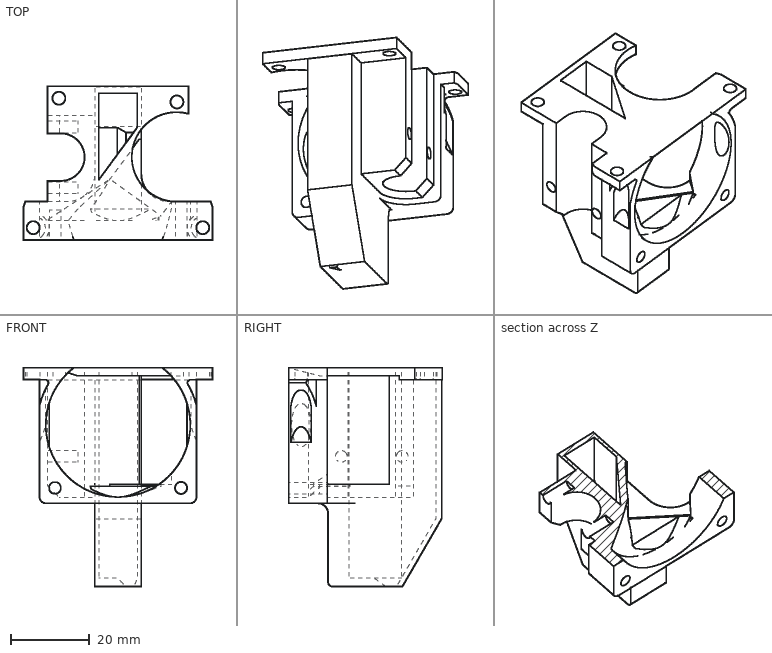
import cadquery as cq
import math

total_height = 55.65
total_depth = 39.1

plate_thickness = 3.0
tab_half_width = 48.0 / 2
tab_depth = 9.85
tab_corner_x = 0.45
tab_corner_y = 1.4
rear_half_width = 17.95
plate_hole_dia = 3.2
tab_screw_x = 21.55
tab_screw_y = 3.15
rear_screws = [(-15.0, 36.05), (14.95, 35.1)]
big_notch_x = 14.85
big_notch_y = 21.15
big_notch_radius = 11.35

fan_half_width = 19.95
fan_center_z = -14.5
fan_bottom = fan_center_z - fan_half_width
fan_corner_radius = 1.7
fan_bore_radius = 18.35
fan_bore_depth = 5.0
fan_screw_offset = 16.0
fan_screw_dia = 3.0
left_fan_screw_depth = 7.8
ring_outer_radius = 20.5
relief_inner_x = 17.5
relief_corner_radius = 1.15
relief_depth = 7.05
relief_inner_depth = 4.4
clearance_radius = 3.0
clearance_wall = 1.0
boss_bottom_z = -22.25
clearance_bottom_z = -18.9
clearance_shoulder_z = -15.0

stem_half_width = 5.95
stem_front = 10.0
stem_back = 38.95
slant_top_z = -38.35
slant_bottom_y = 28.9
stem_toe_radius = 1.2
stem_root_radius = 2.5
stem_side_radius = 7.0
stem_wall = 1.05
back_wall = 1.4

block_back = 31.7
block_bottom = -32.95
block_chamfer = 3.0
rod_radius = 6.0
rod_x = -14.5
rod_y = 21.1
clamp_hole_dia = 2.95
clamp_hole_spacing = 15.45
clamp_hole_z = -22.5
clamp_hole_depth = 7.8

duct_roof_z = -2.05
duct_lip_y = 8.0
duct_lip_z = -30.1
outlet_floor_z = -29.65
outlet_left = (-2.1, 15.6)
outlet_right = (10.85, 6.25)
outlet_end = (5.35, 25.6)

pocket_half_width = stem_half_width - stem_wall
pocket_front_y = 15.3
pocket_corner_y = 28.65
pocket_floor_z = -53.4
pocket_floor_x = -0.15


def box(x0, x1, y0, y1, z0, z1):
    return cq.Workplane("XY").box(x1 - x0, y1 - y0, z1 - z0, centered=False).translate((x0, y0, z0))


def plan_prism(points, z0, z1):
    return cq.Workplane("XY").polyline(points).close().extrude(z1 - z0).translate((0, 0, z0))


def side_prism(points, half_width):
    """Extrude a (Y, Z) outline symmetrically along X."""
    return cq.Workplane("YZ").polyline(points).close().extrude(half_width, both=True)


def front_prism(points, depth):
    """Extrude an (X, Z) outline from the fan face towards +Y."""
    return cq.Workplane("XZ").polyline(points).close().extrude(-depth)


def post(x, y, radius, z0, z1):
    return cq.Workplane("XY").center(x, y).circle(radius).extrude(z1 - z0).translate((0, 0, z0))


def fan_bore(radius, depth):
    return cq.Workplane("XZ").center(0, fan_center_z).circle(radius).extrude(-depth)


def make_plate_notch(depth):
    """Large round opening on the right edge of the plate."""
    round_part = post(big_notch_x, big_notch_y, big_notch_radius, -depth, 0)
    mouth = box(big_notch_x, tab_half_width, tab_depth, big_notch_y, -depth, 0)
    return round_part.union(mouth)


def make_plate():
    tab = plan_prism(
        [
            (-tab_half_width, 0),
            (tab_half_width, 0),
            (tab_half_width, tab_depth - tab_corner_y),
            (tab_half_width - tab_corner_x, tab_depth),
            (-tab_half_width + tab_corner_x, tab_depth),
            (-tab_half_width, tab_depth - tab_corner_y),
        ],
        -plate_thickness, 0,
    )
    rear = box(-rear_half_width, rear_half_width, tab_depth, total_depth, -plate_thickness, 0)
    return tab.union(rear).cut(make_plate_notch(plate_thickness))


def make_fan_body():
    body = box(-fan_half_width, fan_half_width, 0, tab_depth, fan_bottom, 0)
    return body.edges("|Y and <Z").fillet(fan_corner_radius)


def make_stem():
    arm = side_prism(
        [
            (stem_front, 0),
            (stem_front, -total_height),
            (slant_bottom_y, -total_height),
            (stem_back, slant_top_z),
            (stem_back, 0),
        ],
        stem_half_width,
    )
    arm = arm.edges("|X and <Z and <Y").fillet(stem_toe_radius)
    root = side_prism(
        [
            (stem_front, fan_bottom),
            (stem_front, fan_bottom - stem_root_radius),
            (stem_front - stem_root_radius, fan_bottom),
        ],
        stem_half_width,
    )
    root_round = (
        cq.Workplane("YZ")
        .center(stem_front - stem_root_radius, fan_bottom - stem_root_radius)
        .circle(stem_root_radius)
        .extrude(stem_half_width, both=True)
    )
    return arm.union(root.cut(root_round))


def make_floor_gussets():
    """Slab between the fan body and the stem, with a concave round on each side."""
    reach = stem_half_width + stem_side_radius
    back = tab_depth + stem_side_radius
    slab = box(-reach, reach, tab_depth, back, fan_bottom, outlet_floor_z)
    for side in (-1, 1):
        slab = slab.cut(post(side * reach, back, stem_side_radius, fan_bottom, outlet_floor_z))
    return slab


def make_rod_block():
    block = box(-rear_half_width, -stem_half_width, tab_depth, block_back, block_bottom, 0)
    return block.edges("|Y and <Z and <X").chamfer(block_chamfer)


def cut_rod_slot(body):
    slot = post(rod_x, rod_y, rod_radius, block_bottom, 0)
    mouth = box(-rear_half_width, rod_x, rod_y - rod_radius, rod_y + rod_radius, block_bottom, 0)
    body = body.cut(slot).cut(mouth)
    for side in (-1, 1):
        hole = (
            cq.Workplane("YZ", origin=(-rear_half_width, 0, 0))
            .center(rod_y + side * clamp_hole_spacing / 2, clamp_hole_z)
            .circle(clamp_hole_dia / 2)
            .extrude(clamp_hole_depth)
        )
        body = body.cut(hole)
    return body


def cut_duct(body):
    """Cut the round fan opening that narrows into a rectangular outlet facing the diagonal wall."""
    funnel_top = fan_center_z + fan_bore_radius
    outlet_frame = cq.Wire.makePolygon(
        [
            cq.Vector(*outlet_right, funnel_top),
            cq.Vector(*outlet_left, funnel_top),
            cq.Vector(*outlet_left, duct_lip_z),
            cq.Vector(*outlet_right, duct_lip_z),
        ],
        close=True,
    )
    bore_end = cq.Wire.makeCircle(
        fan_bore_radius, cq.Vector(0, fan_bore_depth, fan_center_z), cq.Vector(0, 1, 0)
    )
    funnel = cq.Workplane(cq.Solid.makeLoft([bore_end, outlet_frame]))
    open_side = fan_bore(fan_bore_radius, tab_depth).intersect(
        box(0, fan_bore_radius, 0, tab_depth, outlet_floor_z, 0)
    )
    envelope = side_prism(
        [
            (0, 0),
            (duct_lip_y, duct_roof_z),
            (total_depth, duct_roof_z),
            (total_depth, duct_lip_z),
            (duct_lip_y, duct_lip_z),
            (fan_bore_depth, fan_center_z - fan_bore_radius),
            (0, fan_bottom),
        ],
        tab_half_width,
    )
    wall_slope = (outlet_end[0] - outlet_left[0]) / (outlet_end[1] - outlet_left[1])
    outlet_rear_x = outlet_right[0] + wall_slope * (tab_depth - outlet_right[1])
    outlet = plan_prism(
        [
            outlet_left,
            outlet_end,
            (rear_half_width, outlet_end[1]),
            (rear_half_width, tab_depth),
            (outlet_rear_x, tab_depth),
            outlet_right,
        ],
        outlet_floor_z, duct_roof_z,
    )
    bosses = make_clearance_bosses()
    for part in (fan_bore(fan_bore_radius, fan_bore_depth), open_side, funnel):
        body = body.cut(part.intersect(envelope).cut(bosses))
    return body.cut(outlet)


def make_pocket():
    """Diagonal-sided pocket whose floor slopes down to an opening at the stem's foot."""
    plan = plan_prism(
        [
            (-pocket_half_width, pocket_front_y),
            (pocket_half_width, pocket_corner_y),
            (pocket_half_width, stem_back - back_wall),
            (-pocket_half_width, stem_back - back_wall),
        ],
        -total_height, 0,
    )
    slant_run = stem_back - slant_bottom_y
    slant_drop = slant_top_z + total_height
    shift = back_wall * math.hypot(slant_run, slant_drop) / slant_drop
    inside_slant = side_prism(
        [
            (0, 0),
            (0, -total_height),
            (slant_bottom_y - shift, -total_height),
            (stem_back - shift, slant_top_z),
            (stem_back - shift, 0),
        ],
        pocket_half_width,
    )
    floor_drop = total_height + pocket_floor_z
    above_floor = front_prism(
        [
            (-pocket_half_width, 0),
            (-pocket_half_width, pocket_floor_z),
            (pocket_floor_x, pocket_floor_z),
            (pocket_floor_x + floor_drop, -total_height),
            (pocket_half_width, -total_height),
            (pocket_half_width, 0),
        ],
        total_depth,
    )
    return plan.intersect(inside_slant).intersect(above_floor)


def make_right_corner_relief():
    """Space outside the fan ring, below the right tab."""
    corner = box(
        relief_inner_x, fan_half_width, 0, relief_depth, fan_center_z, -plate_thickness
    )
    corner = corner.edges("|Y and <X and >Z").fillet(relief_corner_radius)
    tapered = plan_prism(
        [
            (relief_inner_x, 0),
            (fan_half_width, 0),
            (fan_half_width, relief_depth),
            (relief_inner_x, relief_inner_depth),
        ],
        fan_center_z, -plate_thickness,
    )
    return corner.intersect(tapered).cut(fan_bore(ring_outer_radius, relief_depth))


def make_right_screw_clearance():
    """Upright round channel below the tab screw, with a steep floor."""
    inner_x = tab_screw_x - clearance_radius
    channel = post(tab_screw_x, tab_screw_y, clearance_radius, clearance_bottom_z, -plate_thickness)
    above_floor = front_prism(
        [
            (inner_x, -plate_thickness),
            (inner_x, clearance_shoulder_z),
            (fan_half_width, clearance_bottom_z),
            (tab_half_width, clearance_bottom_z),
            (tab_half_width, -plate_thickness),
        ],
        tab_depth,
    )
    return channel.intersect(above_floor).cut(fan_bore(fan_bore_radius, tab_depth))


def mirrored(shape):
    return shape.union(shape.mirror("YZ"))


def make_clearance_bosses():
    """Walls that keep the screw channels closed towards the fan bore."""
    boss = post(
        tab_screw_x, tab_screw_y, clearance_radius + clearance_wall, boss_bottom_z, -plate_thickness
    )
    inside = box(0, fan_half_width, 0, tab_depth, fan_bottom, 0)
    return mirrored(boss.intersect(inside))


def make_screw_holes():
    holes = cq.Workplane("XY")
    plate_screws = [(-tab_screw_x, tab_screw_y), (tab_screw_x, tab_screw_y)] + rear_screws
    for x, y in plate_screws:
        holes = holes.union(post(x, y, plate_hole_dia / 2, -plate_thickness, 0))
    for x, depth in ((-fan_screw_offset, left_fan_screw_depth), (fan_screw_offset, tab_depth)):
        fan_hole = (
            cq.Workplane("XZ")
            .center(x, fan_center_z - fan_screw_offset)
            .circle(fan_screw_dia / 2)
            .extrude(-depth)
        )
        holes = holes.union(fan_hole)
    return holes


body = make_plate().union(make_fan_body()).union(make_stem())
body = body.union(make_floor_gussets()).union(make_rod_block())
body = cut_rod_slot(body).cut(make_plate_notch(-duct_roof_z))
body = cut_duct(body)
body = body.cut(make_pocket())
body = body.cut(mirrored(make_right_corner_relief()))
body = body.cut(mirrored(make_right_screw_clearance()))
result = body.cut(make_screw_holes())